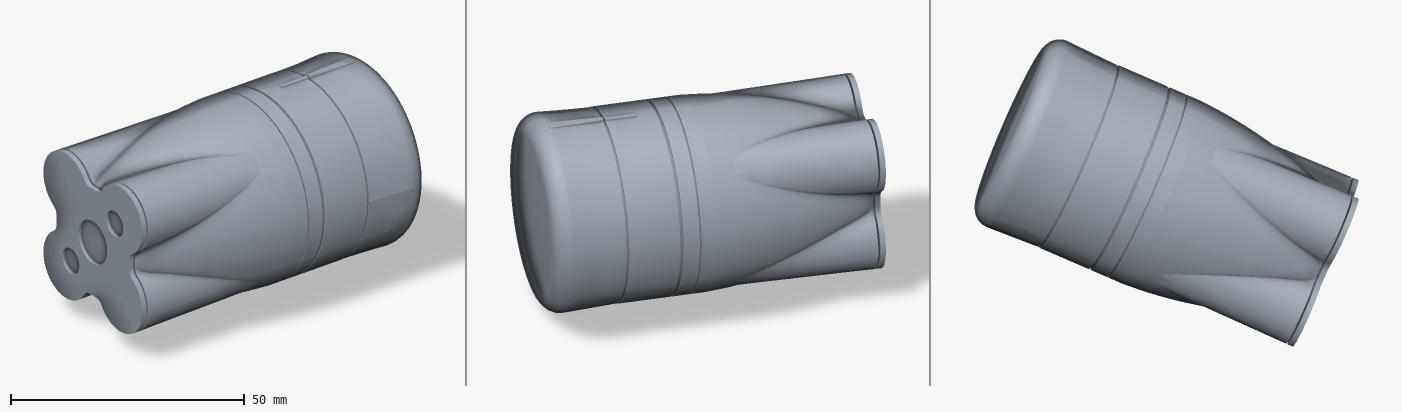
import cadquery as cq
import math

length = 74.8
plate_end = 1.2
neck_end = 1.65
shoulder_y = 38.3
front_groove = (41.65, 42.0)
rear_groove = (45.6, 46.3)
sleeve_top = 57.6
cap_start = 58.1
cap_rim_y = 69.85

sleeve_radius = 21.3
groove_depth = 0.4
groove_radius = sleeve_radius - groove_depth
waist = (19.1, 21.4)
tip_radius = 12.9

lobe_offset = 9.65
lobe_radius = 7.85
valley_floor = 12.9
neck_lobe_offset = 7.7
neck_lobe_radius = 6.95
neck_valley_floor = 12.0
valley_fillet = 2.25
lobe_draft = 0.9

recess_depth = 0.9
centre_recess_radius = 5.1
side_recess_radius = 3.0
side_recess_offset = 7.8

cap_diameter = 43.45
cap_radius = cap_diameter / 2
cap_start_radius = 21.25
cap_fillet = 4.1
crown_edge_radius = cap_radius - cap_fillet
crown_edge_y = cap_rim_y + cap_fillet

mark_root_z = 19.45
overall_height = 43.6
cap_mark_top_z = overall_height - cap_radius
cap_mark_start_width = 1.2
cap_mark_rim_width = 2.25
sleeve_mark_top_z = 21.7
sleeve_mark_width = 0.9
sleeve_mark_start = 50.55


def across_y(y):
    """Workplane at a station along Y, facing +Y, with local axes (Z, X)."""
    return cq.Workplane("ZX", origin=(0, y, 0))


def disc(start, end, radius):
    return across_y(start).circle(radius).extrude(end - start)


def mirrored(point):
    """Point reflected in the diagonal through the lobe centre."""
    u, v = point
    return (v, u)


def turned(point, quarters):
    """Point turned clockwise about the origin by a number of quarter turns."""
    u, v = point
    for _ in range(quarters):
        u, v = v, -u
    return (u, v)


def lobed_outline(y, offset, radius, floor):
    """Four round lobes on the diagonals, joined by filleted valleys with short flat floors."""
    reach = valley_fillet + radius
    rise = floor + valley_fillet - offset
    half_flat = offset - math.sqrt(reach**2 - rise**2)
    end_angle = -math.asin(rise / reach)
    mid_angle = (end_angle - math.pi / 2) / 2

    def on_fillet(angle):
        return (
            half_flat + valley_fillet * math.cos(angle),
            floor + valley_fillet + valley_fillet * math.sin(angle),
        )

    lobe_peak = offset + radius / math.sqrt(2)
    fillet_mid = on_fillet(mid_angle)
    fillet_end = on_fillet(end_angle)
    outline = across_y(y).moveTo(-half_flat, floor)
    for quarter in range(4):
        stops = [
            (half_flat, floor),
            fillet_mid,
            fillet_end,
            (lobe_peak, lobe_peak),
            mirrored(fillet_end),
            mirrored(fillet_mid),
            (floor, half_flat),
        ]
        flat, rise_mid, lobe_in, peak, lobe_out, fall_mid, next_flat = [
            turned(stop, quarter) for stop in stops
        ]
        outline = (
            outline.lineTo(*flat)
            .threePointArc(rise_mid, lobe_in)
            .threePointArc(peak, lobe_out)
            .threePointArc(fall_mid, next_flat)
        )
    return outline.close()


def pointer_mark(start, start_width, end, end_width, top_z):
    return (
        cq.Workplane("XY", origin=(0, 0, mark_root_z))
        .polyline(
            [
                (-start_width / 2, start),
                (start_width / 2, start),
                (end_width / 2, end),
                (-end_width / 2, end),
            ]
        )
        .close()
        .extrude(top_z - mark_root_z)
    )


def make_sleeve():
    barrel = (
        cq.Workplane("XY")
        .moveTo(0, neck_end)
        .lineTo(tip_radius, neck_end)
        .threePointArc(waist, (sleeve_radius, shoulder_y))
        .lineTo(sleeve_radius, sleeve_top)
        .lineTo(0, sleeve_top)
        .close()
        .revolve(360, (0, 0), (0, 1))
    )
    for start, end in (front_groove, rear_groove):
        ring = disc(start, end, sleeve_radius + groove_depth).cut(disc(start, end, groove_radius))
        barrel = barrel.cut(ring)
    collar = disc(sleeve_top, cap_start, groove_radius)

    grip = lobed_outline(neck_end, lobe_offset, lobe_radius, valley_floor).extrude(
        shoulder_y - neck_end, taper=lobe_draft
    )
    neck = lobed_outline(plate_end, neck_lobe_offset, neck_lobe_radius, neck_valley_floor).extrude(
        neck_end - plate_end
    )
    plate = lobed_outline(0, lobe_offset, lobe_radius, valley_floor).extrude(plate_end)

    mark = pointer_mark(
        sleeve_mark_start, sleeve_mark_width, sleeve_top, sleeve_mark_width, sleeve_mark_top_z
    )
    sleeve = barrel.union(collar).union(grip).union(neck).union(plate).union(mark)

    side_recesses = (
        across_y(0)
        .pushPoints([(side * side_recess_offset, side * side_recess_offset) for side in (-1, 1)])
        .circle(side_recess_radius)
        .extrude(recess_depth)
    )
    return sleeve.cut(disc(0, recess_depth, centre_recess_radius)).cut(side_recesses)


def make_cap():
    fillet_middle = cap_fillet * math.sqrt(0.5)
    sag = length - crown_edge_y
    dome_radius = (crown_edge_radius**2 + sag**2) / (2 * sag)
    dome_mid_r = crown_edge_radius / 2
    dome_mid_y = length - dome_radius + math.sqrt(dome_radius**2 - dome_mid_r**2)
    body = (
        cq.Workplane("XY")
        .moveTo(0, cap_start)
        .lineTo(cap_start_radius, cap_start)
        .lineTo(cap_radius, cap_rim_y)
        .threePointArc(
            (crown_edge_radius + fillet_middle, cap_rim_y + fillet_middle),
            (crown_edge_radius, crown_edge_y),
        )
        .threePointArc((dome_mid_r, dome_mid_y), (0, length))
        .close()
        .revolve(360, (0, 0), (0, 1))
    )
    mark = pointer_mark(
        cap_start, cap_mark_start_width, cap_rim_y, cap_mark_rim_width, cap_mark_top_z
    )
    return body.union(mark)


sleeve = make_sleeve()
cap = make_cap()
result = cq.Compound.makeCompound([sleeve.val(), cap.val()])